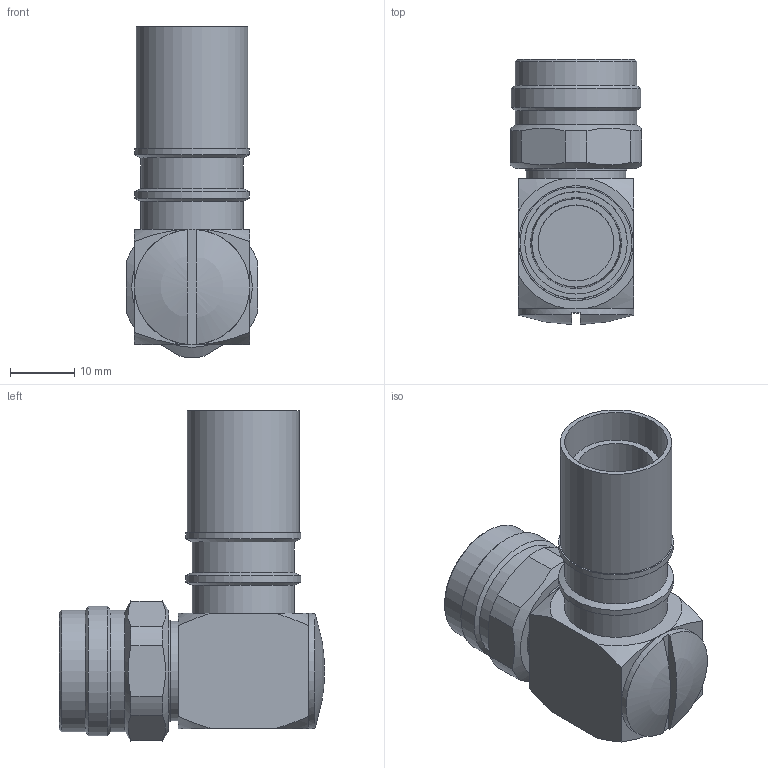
import cadquery as cq
import math


body_width = 18.0
body_length = 20.34
body_corner_radius = 10.3
chamfer_slope = math.tan(math.radians(30))

cap_radius = body_width / 2
cap_rim = 1.03
dome_rise = 1.5
slot_width = 1.4
slot_floor_y = -10.88

tube_top_z = 40.67
tube_radius = 8.72
tube_neck_radius = 8.0
collar_radius = 8.97
collar_chamfer = 0.5
lower_collar_z = (13.38, 15.37)
upper_collar_z = (20.17, 21.6)
tube_bore_radius = 8.0
tube_bore_floor_z = 21.6

ferrule_top_z = 36.2
ferrule_outer_radius = 7.1
ferrule_top_radius = 6.9
ferrule_bore_radius = 5.93
ferrule_bore_floor_z = body_width / 2

neck_radius = 7.75
lip_radius = 7.9
lip_start_y = 11.4
nut_start_y = 11.67
nut_end_y = 18.49
nut_across_flats = 20.57
nut_corner_radius = 11.02
nut_face_radius = 9.42
coupling_radius = 9.5
coupling_end_y = 28.7
coupling_end_chamfer = 0.33
grip_radius = 10.1
grip_chamfer = 0.5
grip_start_y = 20.72
grip_end_y = 24.67


def revolve_about_z(profile):
    """Solid of revolution about Z from (radius, z) points."""
    return cq.Workplane("XZ").polyline(profile).close().revolve(360, (0, 0, 0), (0, 1, 0))


def revolve_about_y(profile):
    """Solid of revolution about Y from (radius, y) points."""
    return cq.Workplane("XY").polyline(profile).close().revolve(360, (0, 0, 0), (0, 1, 0))


def make_body():
    """Block whose top and bottom corners are trimmed by 30 degree cones."""
    half = body_width / 2
    far_radius = body_corner_radius + half
    low_z = half - half * chamfer_slope
    cone = revolve_about_z([
        (0, -half),
        (body_corner_radius, -half),
        (far_radius, -low_z),
        (far_radius, low_z),
        (body_corner_radius, half),
        (0, half),
    ])
    return cq.Workplane("XY").box(body_width, body_length, body_width).intersect(cone)


def make_cap():
    """Domed round cap, with a shank reaching to the middle of the block."""
    face_y = -body_length / 2
    rim_y = face_y - cap_rim
    tip_y = rim_y - dome_rise
    dome_radius = (cap_radius ** 2 + dome_rise ** 2) / (2 * dome_rise)
    half_angle = math.asin(cap_radius / dome_radius) / 2
    middle = (
        dome_radius * math.sin(half_angle),
        tip_y + dome_radius * (1 - math.cos(half_angle)),
    )
    return (
        cq.Workplane("XY")
        .moveTo(0, 0)
        .lineTo(cap_radius, 0)
        .lineTo(cap_radius, rim_y)
        .threePointArc(middle, (0, tip_y))
        .close()
        .revolve(360, (0, 0, 0), (0, 1, 0))
    )


def make_slot():
    """Screwdriver slot running along Z across the dome."""
    depth = cap_radius
    return cq.Workplane("XY").box(slot_width, depth, body_width).translate((0, slot_floor_y - depth / 2, 0))


def make_tube():
    """Cable tube with two collars, bored out from the top."""
    lower_bottom, lower_top = lower_collar_z
    upper_bottom, upper_top = upper_collar_z
    return revolve_about_z([
        (0, 0),
        (tube_neck_radius, 0),
        (tube_neck_radius, lower_bottom),
        (collar_radius, lower_bottom + collar_chamfer),
        (collar_radius, lower_top - collar_chamfer),
        (tube_neck_radius, lower_top),
        (tube_neck_radius, upper_bottom),
        (collar_radius, upper_bottom + collar_chamfer),
        (collar_radius, upper_top),
        (tube_radius, upper_top),
        (tube_radius, tube_top_z),
        (tube_bore_radius, tube_top_z),
        (tube_bore_radius, tube_bore_floor_z),
        (0, tube_bore_floor_z),
    ])


def make_ferrule():
    """Inner sleeve, with a slightly tapered outside."""
    return revolve_about_z([
        (0, tube_bore_floor_z),
        (ferrule_outer_radius, tube_bore_floor_z),
        (ferrule_top_radius, ferrule_top_z),
        (0, ferrule_top_z),
    ])


def make_ferrule_bore():
    """Blind bore of the ferrule."""
    depth = ferrule_top_z - ferrule_bore_floor_z
    return cq.Workplane("XY").workplane(offset=ferrule_bore_floor_z).circle(ferrule_bore_radius).extrude(depth)


def make_coupling():
    """Round neck, lip, barrel and grip ring of the coupling."""
    return revolve_about_y([
        (0, 0),
        (neck_radius, 0),
        (neck_radius, lip_start_y),
        (lip_radius, lip_start_y),
        (lip_radius, nut_end_y),
        (coupling_radius, nut_end_y),
        (coupling_radius, grip_start_y),
        (grip_radius, grip_start_y + grip_chamfer),
        (grip_radius, grip_end_y - grip_chamfer),
        (coupling_radius, grip_end_y),
        (coupling_radius, coupling_end_y - coupling_end_chamfer),
        (coupling_radius - coupling_end_chamfer, coupling_end_y),
        (0, coupling_end_y),
    ])


def make_nut():
    """Hexagon with flats facing +X and -X, rounded corners and 30 degree chamfered ends."""
    chamfer = (nut_corner_radius - nut_face_radius) * chamfer_slope
    turned = revolve_about_y([
        (0, nut_start_y),
        (nut_face_radius, nut_start_y),
        (nut_corner_radius, nut_start_y + chamfer),
        (nut_corner_radius, nut_end_y - chamfer),
        (nut_face_radius, nut_end_y),
        (0, nut_end_y),
    ])
    hexagon = (
        cq.Workplane("XZ", origin=(0, nut_end_y, 0))
        .polygon(6, nut_across_flats, circumscribed=True)
        .extrude(nut_end_y - nut_start_y)
    )
    return turned.intersect(hexagon)


result = (
    make_body()
    .union(make_cap())
    .union(make_tube())
    .union(make_ferrule())
    .union(make_coupling())
    .union(make_nut())
    .cut(make_slot())
    .cut(make_ferrule_bore())
)